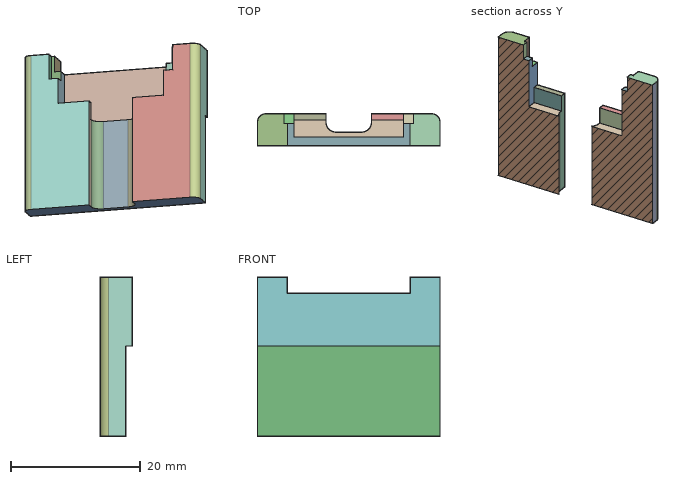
import cadquery as cq

WIDTH = 28.3
DEPTH = 5.0
HEIGHT = 24.7
BACK_CORNER_RADIUS = 1.3

SLAB_HEIGHT = 14.0
SLAB_SETBACK = 1.0

OPENING_WIDTH = 19.0
OPENING_DEPTH = 2.5

POCKET_WIDTH = 17.0
FRONT_WALL = 1.4
BACK_LIP = 1.0
BACK_LIP_HEIGHT = 2.7

NOTCH_SIZE = 1.5
NOTCH_DEPTH = 4.0

CHANNEL_WIDTH = 7.0
CHANNEL_DEPTH = 2.85
CHANNEL_RADIUS = 1.5


def centred_box(width, y_front, y_back, z_bottom, z_top):
    """Box centred on X = 0 between the given Y and Z limits."""
    box = cq.Workplane("XY").box(
        width, y_back - y_front, z_top - z_bottom, centered=(True, False, False)
    )
    return box.translate((0, y_front, z_bottom))


def make_body():
    """Block with its two vertical back edges rounded and its lower front set back."""
    block = centred_box(WIDTH, 0, DEPTH, 0, HEIGHT)
    block = block.edges("|Z and >Y").fillet(BACK_CORNER_RADIUS)
    return block.cut(centred_box(WIDTH, 0, SLAB_SETBACK, 0, SLAB_HEIGHT))


def make_opening():
    """Shallow gap that leaves a pillar at each end of the top."""
    return centred_box(OPENING_WIDTH, 0, DEPTH, HEIGHT - OPENING_DEPTH, HEIGHT)


def make_pocket():
    """Pocket down to the slab, open at the back above the lip."""
    pocket = centred_box(POCKET_WIDTH, FRONT_WALL, DEPTH, SLAB_HEIGHT, HEIGHT)
    lip = centred_box(
        POCKET_WIDTH, DEPTH - BACK_LIP, DEPTH, SLAB_HEIGHT, SLAB_HEIGHT + BACK_LIP_HEIGHT
    )
    return pocket.cut(lip)


def make_corner_notches():
    """Both notches as one cut that widens the pocket at the back."""
    notched_width = POCKET_WIDTH + 2 * NOTCH_SIZE
    return centred_box(notched_width, DEPTH - NOTCH_SIZE, DEPTH, HEIGHT - NOTCH_DEPTH, HEIGHT)


def make_channel():
    """Full-height channel with rounded inner corners."""
    channel = centred_box(CHANNEL_WIDTH, DEPTH - CHANNEL_DEPTH, DEPTH, 0, HEIGHT)
    return channel.edges("|Z and <Y").fillet(CHANNEL_RADIUS)


result = (
    make_body()
    .cut(make_opening())
    .cut(make_pocket())
    .cut(make_corner_notches())
    .cut(make_channel())
)